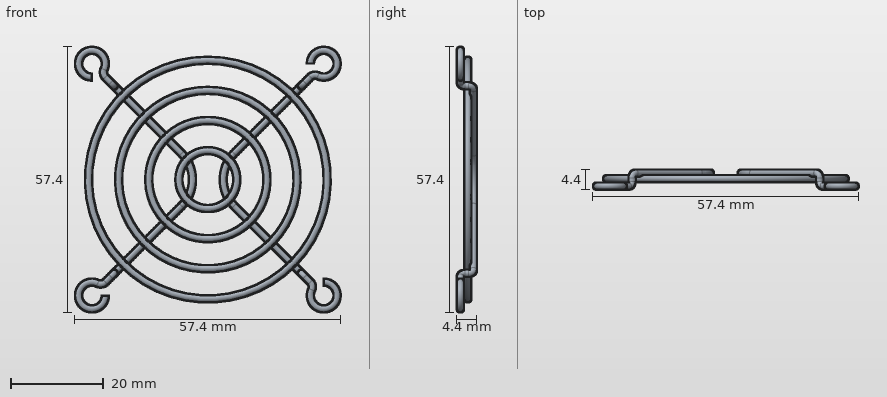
import cadquery as cq
import math

wire_diameter = 1.6
wire_radius = wire_diameter / 2

ring_count = 4
inner_ring_radius = 6.25
ring_pitch = 6.5

weld_depth = 0.4
hook_y = wire_radius
ring_y = hook_y + wire_diameter
spoke_y = ring_y + wire_diameter - weld_depth

screw_spacing = 50.0
hook_radius = 2.89
hook_distance = screw_spacing / math.sqrt(2)
hook_gap_angle = 45.0

neck_radius = hook_radius / 2
neck_angle = math.degrees(math.asin(neck_radius / (hook_radius + neck_radius)))
neck_start = hook_distance - (hook_radius + neck_radius) * math.cos(math.radians(neck_angle))

step_distance = 28.6
step_bend_radius = 1.0

spoke_angle = 45.0
center_bend_radius = 8.0


def point_on_arc(center, radius, angle):
    """Point at an angle in degrees, from +X towards +Z, on a circle facing Y."""
    turn = math.radians(angle)
    return center + cq.Vector(radius * math.cos(turn), 0, radius * math.sin(turn))


def flat_arc(center, radius, start_angle, end_angle):
    """Arc edge facing Y between two angles in degrees."""
    angles = (start_angle, (start_angle + end_angle) / 2, end_angle)
    return cq.Edge.makeThreePointArc(*[point_on_arc(center, radius, angle) for angle in angles])


def sweep_wire(edges):
    """Round wire along a chain of tangent edges."""
    path = cq.Wire.assembleEdges(edges)
    start_plane = cq.Plane(origin=edges[0].startPoint(), normal=edges[0].tangentAt(0))
    return cq.Workplane(start_plane).circle(wire_radius).sweep(cq.Workplane(path))


def turn_about_axis(body, angle):
    """Turn a body about the guard's axis, from +X towards +Z."""
    return body.rotate((0, 0, 0), (0, 1, 0), -angle)


def make_ring(radius):
    """Closed ring in the ring layer."""
    ring_center = cq.Vector(0, ring_y, 0)
    ring_axis = cq.Vector(0, 1, 0)
    return cq.Workplane(cq.Solid.makeTorus(radius, wire_radius, ring_center, ring_axis))


def make_arm():
    """Spoke, step, neck and hook of one corner, laid out along +X."""
    spoke_start = cq.Vector(center_bend_radius, spoke_y, 0)
    spoke_end = cq.Vector(step_distance - step_bend_radius, spoke_y, 0)
    step_back = cq.Vector(step_distance, spoke_y - step_bend_radius, 0)
    step_front = cq.Vector(step_distance, hook_y + step_bend_radius, 0)
    tail_start = cq.Vector(step_distance + step_bend_radius, hook_y, 0)
    tail_end = cq.Vector(neck_start, hook_y, 0)
    neck_center = cq.Vector(neck_start, hook_y, -neck_radius)
    hook_center = cq.Vector(hook_distance, hook_y, 0)

    outward = cq.Vector(1, 0, 0)
    forward = cq.Vector(0, -1, 0)
    hook_start_angle = 180 + neck_angle
    hook_end_angle = 180 - hook_gap_angle + 360
    edges = [
        cq.Edge.makeLine(spoke_start, spoke_end),
        cq.Edge.makeTangentArc(spoke_end, outward, step_back),
        cq.Edge.makeLine(step_back, step_front),
        cq.Edge.makeTangentArc(step_front, forward, tail_start),
        cq.Edge.makeLine(tail_start, tail_end),
        flat_arc(neck_center, neck_radius, 90, neck_angle),
        flat_arc(hook_center, hook_radius, hook_start_angle, hook_end_angle),
    ]
    return sweep_wire(edges)


def make_center_bend():
    """Bend tangent to the upper and lower spokes on the +X side."""
    bend_center = cq.Vector(center_bend_radius * math.sqrt(2), spoke_y, 0)
    return sweep_wire([flat_arc(bend_center, center_bend_radius, 180 - spoke_angle, 180 + spoke_angle)])


def make_spoke_wire(rings):
    """Two arms joined by the centre bend, notched where the rings are welded in."""
    arm = make_arm()
    spoke_wire = make_center_bend()
    for angle in (spoke_angle, -spoke_angle):
        spoke_wire = spoke_wire.union(turn_about_axis(arm, angle))
    for ring in rings:
        spoke_wire = spoke_wire.cut(ring)
    return spoke_wire.solids()


rings = [make_ring(inner_ring_radius + i * ring_pitch) for i in range(ring_count)]
right_spoke_wire = make_spoke_wire(rings)
spoke_wires = [turn_about_axis(right_spoke_wire, angle) for angle in (0, 180)]

result = cq.Compound.makeCompound([body.val() for body in rings + spoke_wires])